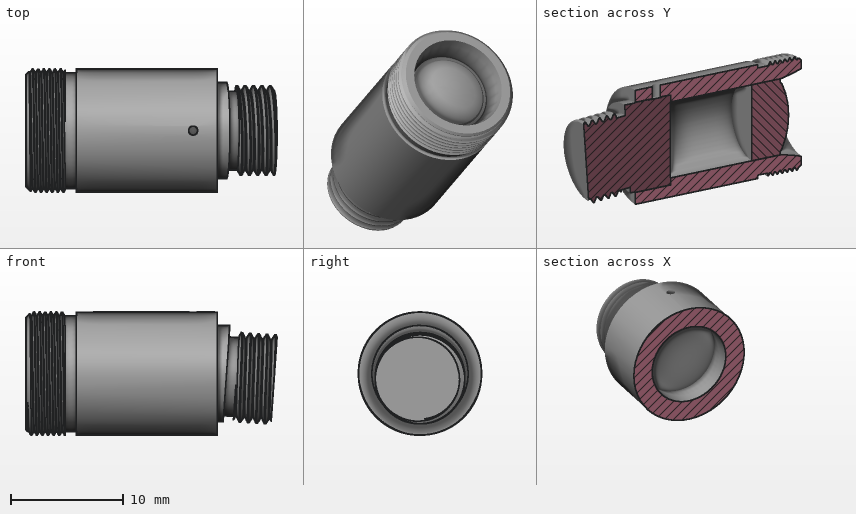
import cadquery as cq
import math

ORIGIN = (0, 0, 0)
AXIS = (1, 0, 0)

barrel_radius = 5.5
front_thread_pitch = 0.5
front_thread_length = 3.5
front_thread_root_radius = 5.18
front_thread_start_angle = 15.0
front_chamfer = 0.5
barrel_start = 4.5
barrel_end = 17.1
mouth_radius = 4.2
seat_radius = 3.63
mouth_depth = 2.15
vent_x = 14.93
vent_radius = 0.4

lens_thickness = 3.0
lens_edge_chamfer = 0.12
dome_step_radius = 3.29
dome_radius = 3.15
dome_step_height = dome_step_radius - dome_radius
dome_height = 0.7

plug_start = 13.5
plug_radius = 4.3
tilt = 4.0
pivot_x = 14.4
neck_radius = 3.53
neck_overlap = 1.0
plug_face = 3.5
neck_thread_start = 4.4
neck_thread_length = 3.38
neck_thread_radius = 4.0
neck_thread_pitch = 0.75
neck_thread_start_angle = 75.0

crest_flat_ratio = 1 / 8
half_flank_angle = math.radians(30)
ridge_sink = 0.03
trim_clearance = 1.0


def tube_along_x(start, end, radius):
    """Solid cylinder on the X axis from x = start to x = end."""
    return cq.Workplane("YZ", origin=(start, 0, 0)).circle(radius).extrude(end - start)


def turned(points):
    """Solid of revolution about X from (x, radius) points."""
    return cq.Workplane("XY").polyline(points).close().revolve(360, ORIGIN, AXIS)


def threaded_bar(start, length, root_radius, crest_radius, pitch, start_angle):
    """Bar on X with a right-handed V thread; it runs past both ends of the wanted thread, for trimming."""
    height = crest_radius - root_radius
    half_crest = crest_flat_ratio * pitch / 2
    half_base = half_crest + (height + ridge_sink) * math.tan(half_flank_angle)
    inner_radius = root_radius - ridge_sink
    helix = cq.Wire.makeHelix(pitch, length + 2 * pitch, root_radius)
    ridge = (
        cq.Workplane("XZ")
        .polyline([
            (inner_radius, -half_base),
            (crest_radius, -half_crest),
            (crest_radius, half_crest),
            (inner_radius, half_base),
        ])
        .close()
        .sweep(cq.Workplane(helix), isFrenet=True)
    )
    ridge = ridge.rotate(ORIGIN, (0, 1, 0), 90)
    ridge = ridge.rotate(ORIGIN, AXIS, start_angle).translate((start - pitch, 0, 0))
    core = tube_along_x(start - 2 * pitch, start + length + 2 * pitch, root_radius)
    return core.union(ridge)


def make_housing():
    chamfer_start_radius = barrel_radius - front_chamfer
    relief = tube_along_x(front_thread_length, barrel_start, front_thread_root_radius)
    barrel = tube_along_x(barrel_start, barrel_end, barrel_radius)
    thread_envelope = turned([
        (0, 0),
        (0, chamfer_start_radius),
        (front_chamfer + trim_clearance, barrel_radius + trim_clearance),
        (front_thread_length, barrel_radius + trim_clearance),
        (front_thread_length, 0),
    ])
    thread = threaded_bar(
        0, front_thread_length, front_thread_root_radius, barrel_radius,
        front_thread_pitch, front_thread_start_angle,
    ).intersect(thread_envelope)
    bore = turned([
        (0, 0),
        (0, mouth_radius),
        (mouth_depth, seat_radius),
        (plug_start, seat_radius),
        (plug_start, plug_radius),
        (barrel_end, plug_radius),
        (barrel_end, 0),
    ])
    vent = cq.Workplane("XY", origin=(vent_x, 0, 0)).circle(vent_radius).extrude(barrel_radius)
    return barrel.union(relief).union(thread).cut(bore).cut(vent)


def make_lens():
    rim_x = mouth_depth
    back_x = rim_x + lens_thickness
    dome_x = rim_x - dome_step_height
    sphere_radius = (dome_radius**2 + dome_height**2) / (2 * dome_height)
    half_angle = math.asin(dome_radius / sphere_radius) / 2
    tip_x = dome_x - dome_height
    middle = (tip_x + sphere_radius * (1 - math.cos(half_angle)), sphere_radius * math.sin(half_angle))
    return (
        cq.Workplane("XY")
        .moveTo(back_x, 0)
        .lineTo(back_x, seat_radius)
        .lineTo(rim_x + lens_edge_chamfer, seat_radius)
        .lineTo(rim_x, seat_radius - lens_edge_chamfer)
        .lineTo(rim_x, dome_step_radius)
        .lineTo(dome_x, dome_radius)
        .threePointArc(middle, (tip_x, 0))
        .close()
        .revolve(360, ORIGIN, AXIS)
    )


def tilted(body):
    """Tip a body built along X from the origin and move it to the pivot."""
    return body.rotate(ORIGIN, (0, 1, 0), tilt).translate((pivot_x, 0, 0))


def make_connector():
    neck_end = neck_thread_start + neck_thread_length
    straight_plug = tube_along_x(plug_start, pivot_x + neck_end, plug_radius)
    behind_face = tilted(tube_along_x(-plug_face, plug_face, 2 * plug_radius))
    plug = straight_plug.intersect(behind_face)
    neck = tube_along_x(plug_face - neck_overlap, neck_thread_start, neck_radius)
    thread_envelope = tube_along_x(neck_thread_start, neck_end, neck_thread_radius + trim_clearance)
    thread = threaded_bar(
        neck_thread_start, neck_thread_length, neck_radius, neck_thread_radius,
        neck_thread_pitch, neck_thread_start_angle,
    ).intersect(thread_envelope)
    return plug.union(tilted(neck.union(thread)))


housing = make_housing()
lens = make_lens()
connector = make_connector()

result = cq.Compound.makeCompound([housing.val(), lens.val(), connector.val()])